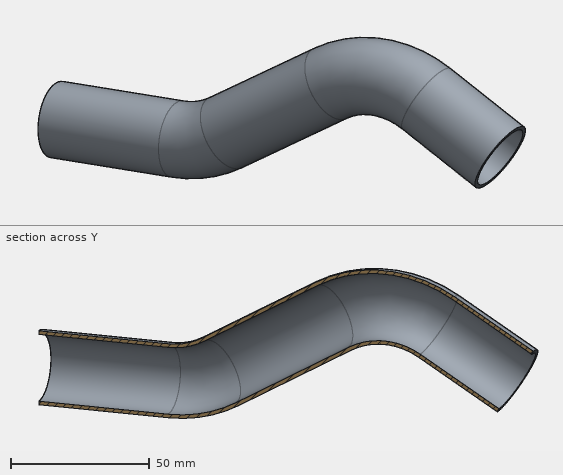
import cadquery as cq
import math

overall_length = 190.6
outer_diameter = 28.0
inner_diameter = 25.0
straight_length = 50.0
bend_radius = 40.0
slope = 30.0

cos_slope = math.cos(math.radians(slope))
sin_slope = math.sin(math.radians(slope))
outer_radius = outer_diameter / 2


def moved(point, run, rise):
    return (point[0] + run, point[1] + rise)


bend_rise = bend_radius * (1 - cos_slope)
half_angle = math.radians(slope / 2)
inlet_start = (0, 0)
first_bend_start = (straight_length, 0)
first_bend_middle = moved(
    first_bend_start,
    bend_radius * math.sin(half_angle),
    bend_radius * (1 - math.cos(half_angle)),
)
first_bend_end = moved(first_bend_start, bend_radius * sin_slope, bend_rise)
second_bend_start = moved(first_bend_end, straight_length * cos_slope, straight_length * sin_slope)
second_bend_top = moved(second_bend_start, bend_radius * sin_slope, bend_rise)
second_bend_end = moved(second_bend_top, bend_radius * sin_slope, -bend_rise)

outlet_run = overall_length - outer_radius * sin_slope - second_bend_end[0]
outlet_end = moved(second_bend_end, outlet_run, -outlet_run * sin_slope / cos_slope)

centreline = (
    cq.Workplane("XZ")
    .moveTo(*inlet_start)
    .lineTo(*first_bend_start)
    .threePointArc(first_bend_middle, first_bend_end)
    .lineTo(*second_bend_start)
    .threePointArc(second_bend_top, second_bend_end)
    .lineTo(*outlet_end)
)

tube_section = cq.Workplane("YZ").circle(outer_radius).circle(inner_diameter / 2)
result = tube_section.sweep(centreline)